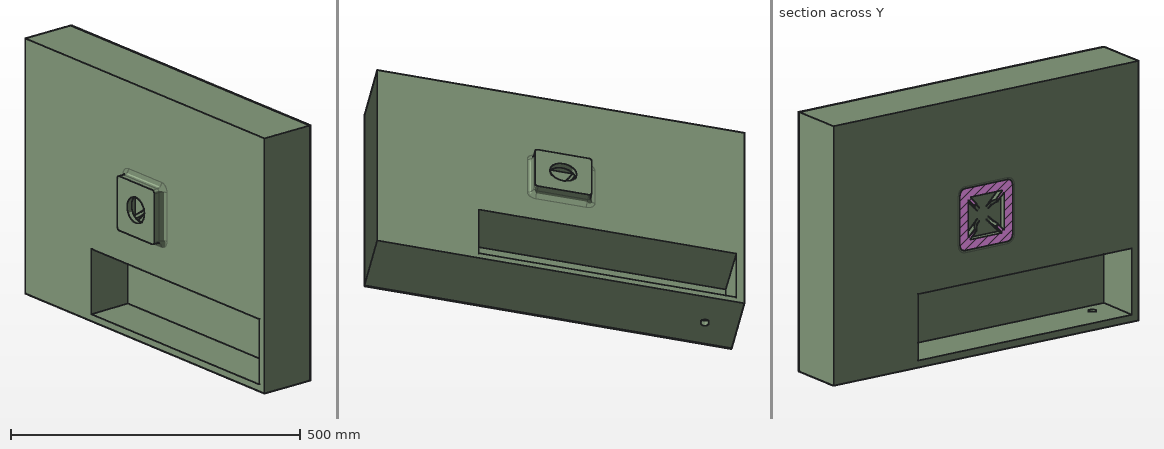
import cadquery as cq
import math

WIDTH = 650.0
HEIGHT = 470.0
PAD_HEIGHT = 20.0
BODY_DEPTH = 104.5
PLATE_THICKNESS = 2.3
PLATE_INSET = 0.5
HOUSING_DEPTH = BODY_DEPTH - PLATE_THICKNESS

PAD_SIZE = 100.0
PAD_CENTRE_Z = 250.0
PAD_CORNER_RADIUS = 5.0
PAD_FLARE_RADIUS = 10.0

OPENING_DIAMETER = 47.0
OPENING_LIP = 10.0
CAVITY_SIZE = 76.0
CAVITY_DEPTH = 20.0

RIB_COUNT = 4
RIB_WIDTH = 6.5
RIB_INNER_RADIUS = 13.5
RIB_CURVE_RADIUS = CAVITY_DEPTH

POCKET_WIDTH = 455.5
POCKET_HEIGHT = 120.0
POCKET_DEPTH = 80.5
POCKET_RIGHT_MARGIN = 14.0
POCKET_BOTTOM_MARGIN = 13.0
POCKET_DRAFT = 1.0

DRAIN_DIAMETER = 14.0
DRAIN_FROM_POCKET_SIDE = 43.5
DRAIN_FROM_FRONT = 56.5

POCKET_RIGHT_X = WIDTH / 2 - POCKET_RIGHT_MARGIN
POCKET_CENTRE_X = POCKET_RIGHT_X - POCKET_WIDTH / 2
POCKET_CENTRE_Z = POCKET_BOTTOM_MARGIN + POCKET_HEIGHT / 2
PAD_FACE_Y = -PAD_HEIGHT
CAVITY_FRONT_Y = PAD_FACE_Y + OPENING_LIP
CAVITY_FLOOR_Y = CAVITY_FRONT_Y + CAVITY_DEPTH


def plane_facing_back(y, x=0.0, z=0.0):
    """Plane parallel to the front face whose extrusions run towards +Y."""
    return cq.Workplane(cq.Plane(origin=(x, y, z), xDir=(1, 0, 0), normal=(0, 1, 0)))


def make_shell():
    """Housing block with the pad flared into its front face."""
    block = plane_facing_back(0, z=HEIGHT / 2).rect(WIDTH, HEIGHT).extrude(HOUSING_DEPTH)
    pad = (
        plane_facing_back(PAD_FACE_Y, z=PAD_CENTRE_Z)
        .rect(PAD_SIZE, PAD_SIZE)
        .extrude(PAD_HEIGHT)
        .edges("|Y")
        .fillet(PAD_CORNER_RADIUS)
    )
    half_pad = PAD_SIZE / 2 + PAD_CORNER_RADIUS
    pad_foot = cq.selectors.BoxSelector(
        (-half_pad, -PAD_FLARE_RADIUS / 2, PAD_CENTRE_Z - half_pad),
        (half_pad, PAD_FLARE_RADIUS / 2, PAD_CENTRE_Z + half_pad),
    )
    return block.union(pad).edges(pad_foot).fillet(PAD_FLARE_RADIUS)


def make_rib():
    """One rib along +X whose concave front rises from the cavity floor to its front."""
    curve_end = RIB_INNER_RADIUS + RIB_CURVE_RADIUS
    corner = CAVITY_SIZE / math.sqrt(2)
    diagonal = math.sqrt(0.5) * RIB_CURVE_RADIUS
    curve_middle = (RIB_INNER_RADIUS + diagonal, CAVITY_FLOOR_Y - RIB_CURVE_RADIUS + diagonal)
    return (
        cq.Workplane("XY")
        .moveTo(RIB_INNER_RADIUS, CAVITY_FLOOR_Y)
        .threePointArc(curve_middle, (curve_end, CAVITY_FRONT_Y))
        .lineTo(corner, CAVITY_FRONT_Y)
        .lineTo(corner, CAVITY_FLOOR_Y)
        .close()
        .extrude(RIB_WIDTH / 2, both=True)
    )


def make_pad_cavity():
    """Round opening and ribbed square cavity, as the volume to remove."""
    cavity = plane_facing_back(CAVITY_FRONT_Y).rect(CAVITY_SIZE, CAVITY_SIZE).extrude(CAVITY_DEPTH)
    for index in range(RIB_COUNT):
        angle = 45 + index * 360 / RIB_COUNT
        cavity = cavity.cut(make_rib().rotate((0, 0, 0), (0, 1, 0), angle))
    opening = plane_facing_back(PAD_FACE_Y).circle(OPENING_DIAMETER / 2).extrude(OPENING_LIP)
    return cavity.union(opening).translate((0, 0, PAD_CENTRE_Z))


def make_pocket():
    """Compartment volume, slightly narrower at the back."""
    return (
        plane_facing_back(0, POCKET_CENTRE_X, POCKET_CENTRE_Z)
        .rect(POCKET_WIDTH, POCKET_HEIGHT)
        .extrude(POCKET_DEPTH, taper=POCKET_DRAFT)
    )


def make_drain():
    """Vertical drain hole from the compartment floor through the underside."""
    return (
        cq.Workplane("XY")
        .center(POCKET_RIGHT_X - DRAIN_FROM_POCKET_SIDE, DRAIN_FROM_FRONT)
        .circle(DRAIN_DIAMETER / 2)
        .extrude(POCKET_CENTRE_Z)
    )


def make_housing():
    return make_shell().cut(make_pad_cavity()).cut(make_pocket()).cut(make_drain())


def make_back_plate():
    plate_width = WIDTH - 2 * PLATE_INSET
    plate_height = HEIGHT - 2 * PLATE_INSET
    return (
        plane_facing_back(HOUSING_DEPTH, z=HEIGHT / 2)
        .rect(plate_width, plate_height)
        .extrude(PLATE_THICKNESS)
    )


housing = make_housing()
back_plate = make_back_plate()

result = cq.Compound.makeCompound([housing.val(), back_plate.val()])